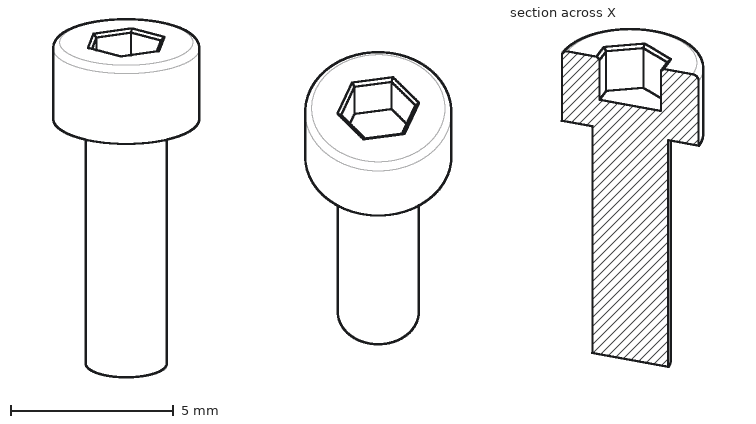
import cadquery as cq
import math

shank_diameter = 2.5
shank_length = 8.0
head_diameter = 4.5
head_height = shank_diameter
head_edge_radius = 0.2
socket_width = 2.0
socket_depth = 1.5
socket_chamfer = 0.1


def across_corners(across_flats):
    """Corner-to-corner size of a regular hexagon."""
    return across_flats / math.cos(math.pi / 6)


def make_shank():
    return cq.Workplane("XY").circle(shank_diameter / 2).extrude(-shank_length)


def make_head():
    head = cq.Workplane("XY").circle(head_diameter / 2).extrude(head_height)
    return head.faces(">Z").edges().fillet(head_edge_radius)


def make_socket():
    """Hexagonal recess, corners along X, flaring out at its mouth."""
    mouth_width = socket_width + 2 * socket_chamfer
    head_top = cq.Workplane("XY").workplane(offset=head_height)
    recess = head_top.polygon(6, across_corners(socket_width)).extrude(-socket_depth)
    flare = (
        head_top.polygon(6, across_corners(mouth_width))
        .workplane(offset=-socket_chamfer)
        .polygon(6, across_corners(socket_width))
        .loft(ruled=True)
    )
    return recess.union(flare)


result = make_head().union(make_shank()).cut(make_socket())